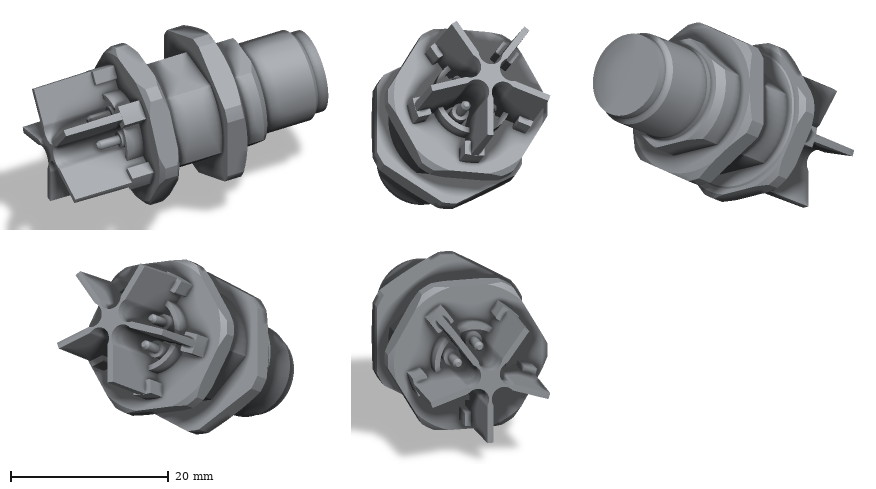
import cadquery as cq
import math


lip_diameter = 10.8
lip_end = 1.35
sleeve_diameter = 12.0
sleeve_start = 2.02
sleeve_end = 9.0
sleeve_foot_diameter = 12.48

body_diameter = 16.07
body_across_flats = 13.58
body_start = 9.4
body_chamfer = 0.88
body_flat_angles = (90, 135, 270, 315)

hex_across_flats = 19.0
hex_corner_diameter = 21.0

nut_start = 13.3
nut_end = 16.07
nut_face_diameter = 19.1
nut_chamfer_length = 0.48

seat_start = 22.85
seat_top_diameter = 17.6
seat_diameter = 18.05
flange_start = 23.0
flange_end = 25.8
flange_face_diameter = 19.67
flange_chamfer_length = 0.55

collar_outer_diameter = 10.1
collar_inner_diameter = 8.75
collar_end = 28.05

pin_count = 5
pin_pitch = 360 / pin_count
pin_circle_radius = 2.95
pin_first_angle = 90
pin_boss_diameter = 2.2
pin_boss_end = 28.22
pin_diameter = 1.2
pin_tip_diameter = 0.65
pin_shoulder = 30.85
pin_end = 31.3

blade_radius = 8.22
star_end = 36.7
blade_width = 1.0
channel_radius = 1.45
root_radius = 0.75
star_draft = 0.6
tab_end = 28.77
tab_radius = 8.25
tab_width = 2.57
tab_inner_radius = 6.35
tab_corner_radius = 0.22


def section_plane(station):
    """Plane across the axis, facing -Y, with local x = X and local y = Z."""
    return cq.Workplane("XZ", origin=(0, -station, 0))


def cylinder(diameter, start, end):
    return section_plane(start).circle(diameter / 2).extrude(end - start)


def turned(profile):
    """Solid of revolution about Y from (station, diameter) pairs."""
    first_station = profile[0][0]
    last_station = profile[-1][0]
    points = [(0, -first_station)]
    points += [(diameter / 2, -station) for station, diameter in profile]
    points.append((0, -last_station))
    return cq.Workplane("XY").polyline(points).close().revolve(360, (0, 0, 0), (0, 1, 0))


def turn_about_axis(shape, angle):
    """Turn a shape counterclockwise as seen from -Y."""
    return shape.rotate((0, 0, 0), (0, -1, 0), angle)


def polar_point(radius, angle):
    return radius * math.cos(math.radians(angle)), radius * math.sin(math.radians(angle))


def hexagon(start, end, corner_angle):
    """Hexagonal prism with one corner at the given angle."""
    across_corners = hex_across_flats / math.cos(math.radians(30))
    prism = section_plane(start).polygon(6, across_corners).extrude(end - start)
    return turn_about_axis(prism, corner_angle)


def make_sleeve():
    return turned([
        (0, lip_diameter),
        (lip_end, lip_diameter),
        (sleeve_start, sleeve_diameter),
        (sleeve_end, sleeve_diameter),
        (body_start, sleeve_foot_diameter),
    ])


def make_body():
    body = turned([
        (body_start, body_diameter - 2 * body_chamfer),
        (body_start + body_chamfer, body_diameter),
        (seat_start, body_diameter),
    ])
    for angle in body_flat_angles:
        cutter = (
            section_plane(body_start)
            .center((body_across_flats + body_diameter) / 2, 0)
            .rect(body_diameter, body_diameter)
            .extrude(seat_start - body_start)
        )
        body = body.cut(turn_about_axis(cutter, angle))
    return body


def make_lock_nut():
    envelope = turned([
        (nut_start, nut_face_diameter),
        (nut_start + nut_chamfer_length, hex_corner_diameter),
        (nut_end, hex_corner_diameter),
    ])
    return hexagon(nut_start, nut_end, 90).intersect(envelope)


def make_flange():
    envelope = turned([
        (flange_start, flange_face_diameter),
        (flange_start + flange_chamfer_length, hex_corner_diameter),
        (flange_end - flange_chamfer_length, hex_corner_diameter),
        (flange_end, flange_face_diameter),
    ])
    seat = turned([(seat_start, seat_top_diameter), (flange_start, seat_diameter)])
    return hexagon(flange_start, flange_end, 0).intersect(envelope).union(seat)


def make_collar():
    bore = cylinder(collar_inner_diameter, flange_end, collar_end)
    return cylinder(collar_outer_diameter, flange_end, collar_end).cut(bore)


def make_pin(angle):
    pin = turned([
        (flange_end, pin_boss_diameter),
        (pin_boss_end, pin_boss_diameter),
        (pin_boss_end, pin_diameter),
        (pin_shoulder, pin_diameter),
        (pin_end, pin_tip_diameter),
    ])
    x, z = polar_point(pin_circle_radius, angle)
    return pin.translate((x, 0, z))


def star_outline(station):
    """Five blades joined by round channels that run concentric with the pins."""
    half_width = blade_width / 2
    half_pitch = math.radians(pin_pitch / 2)
    pin_along = pin_circle_radius * math.cos(half_pitch)
    pin_across = pin_circle_radius * math.sin(half_pitch)
    center_across = half_width - root_radius
    center_distance = channel_radius + root_radius
    center_along = pin_along + math.sqrt(center_distance**2 - (pin_across - center_across) ** 2)
    toward_pin = math.atan2(pin_across - center_across, pin_along - center_along)
    middle_direction = (math.pi / 2 + toward_pin) / 2

    def root_point(direction):
        return (
            center_along + root_radius * math.cos(direction),
            center_across + root_radius * math.sin(direction),
        )

    side_point = (center_along, half_width)
    middle_point = root_point(middle_direction)
    channel_point = root_point(toward_pin)
    tip_point = (math.sqrt(blade_radius**2 - half_width**2), half_width)

    def on_blade(point, angle, side):
        """Place a blade point on the blade at an angle; side 1 is toward the next blade."""
        along, across = point
        return polar_point(math.hypot(along, across), angle + side * math.degrees(math.atan2(across, along)))

    blade_angle = pin_first_angle + pin_pitch / 2
    outline = section_plane(station).moveTo(*on_blade(channel_point, blade_angle, -1))
    for _ in range(pin_count):
        next_blade = blade_angle + pin_pitch
        channel_floor = polar_point(pin_circle_radius - channel_radius, blade_angle + pin_pitch / 2)
        outline = (
            outline
            .threePointArc(on_blade(middle_point, blade_angle, -1), on_blade(side_point, blade_angle, -1))
            .lineTo(*on_blade(tip_point, blade_angle, -1))
            .threePointArc(polar_point(blade_radius, blade_angle), on_blade(tip_point, blade_angle, 1))
            .lineTo(*on_blade(side_point, blade_angle, 1))
            .threePointArc(on_blade(middle_point, blade_angle, 1), on_blade(channel_point, blade_angle, 1))
            .threePointArc(channel_floor, on_blade(channel_point, next_blade, -1))
        )
        blade_angle = next_blade
    return outline.close()


def make_star():
    """Straight foot up to the tab height, then drafted blades."""
    foot = star_outline(flange_end).extrude(tab_end - flange_end)
    blades = star_outline(tab_end).extrude(star_end - tab_end, taper=star_draft)
    return foot.union(blades)


def make_tab(angle):
    tab_length = tab_radius - tab_inner_radius
    tab = (
        section_plane(flange_end)
        .center(tab_inner_radius + tab_length / 2, 0)
        .rect(tab_length, tab_width)
        .extrude(tab_end - flange_end)
        .edges("|Y and <X")
        .fillet(tab_corner_radius)
        .intersect(cylinder(2 * tab_radius, flange_end, tab_end))
    )
    return turn_about_axis(tab, angle)


result = make_sleeve().union(make_body()).union(make_lock_nut()).union(make_flange())
result = result.union(make_collar()).union(make_star())
for index in range(pin_count):
    pin_angle = pin_first_angle + index * pin_pitch
    result = result.union(make_pin(pin_angle))
    result = result.union(make_tab(pin_angle + pin_pitch / 2))